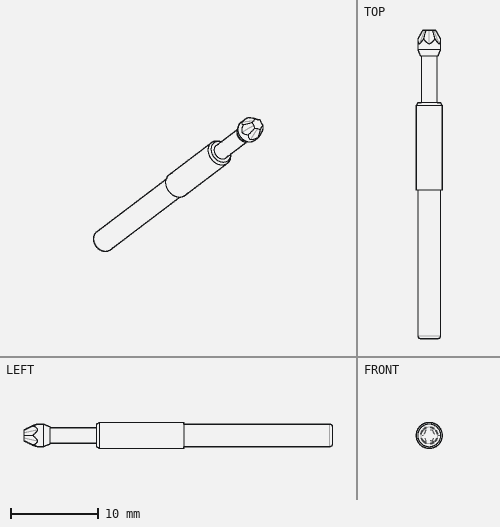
import cadquery as cq
import math

total_length = 35.3

barrel_radius = 1.5
tail_radius = 1.3
head_radius = 1.3
plunger_radius = 0.9
barrel_mouth_radius = 1.3

tail_length = 17.0
tail_fillet = 0.35
barrel_length = 10.0
barrel_chamfer_length = 0.35

head_length = 3.0
head_back_length = 0.75
head_back_radius = 1.0
ridge_count = 6
ridge_tip_radius = 0.73
valley_tip_radius = 0.58
ridge_slope = 0.57

barrel_front = tail_length + barrel_length
head_back = total_length - head_length


def make_blank():
    """Revolve the stepped half outline (radius, Y) about the Y axis."""
    outline = [
        (0, 0),
        (tail_radius, 0),
        (tail_radius, tail_length),
        (barrel_radius, tail_length),
        (barrel_radius, barrel_front - barrel_chamfer_length),
        (barrel_mouth_radius, barrel_front),
        (plunger_radius, barrel_front),
        (plunger_radius, head_back),
        (head_back_radius, head_back),
        (head_radius, head_back + head_back_length),
        (head_radius, total_length),
        (0, total_length),
    ]
    blank = cq.Workplane("XY").polyline(outline).close().revolve(360, (0, 0), (0, 1))
    return blank.faces("<Y").edges().fillet(tail_fillet)


def star_points(ridge_radius):
    """Corners of a star with alternating ridges and valleys, the first ridge on the X axis."""
    valley_radius = ridge_radius * valley_tip_radius / ridge_tip_radius
    points = []
    for corner in range(2 * ridge_count):
        angle = math.pi * corner / ridge_count
        radius = valley_radius if corner % 2 else ridge_radius
        points.append((radius * math.cos(angle), radius * math.sin(angle)))
    return points


def make_star_point():
    """Star pyramid frustum that bounds the head; its flutes run out on the head cylinder."""
    wide_ridge_radius = ridge_tip_radius + ridge_slope * head_length
    return (
        cq.Workplane("XZ", origin=(0, total_length, 0))
        .polyline(star_points(ridge_tip_radius))
        .close()
        .workplane(offset=head_length)
        .polyline(star_points(wide_ridge_radius))
        .close()
        .loft(ruled=True)
    )


def make_head_waste():
    """Ring of material around the star point that is ground away from the head."""
    sleeve_radius = 2 * head_radius
    sleeve = cq.Workplane("XZ", origin=(0, total_length, 0)).circle(sleeve_radius).extrude(head_length)
    return sleeve.cut(make_star_point())


result = make_blank().cut(make_head_waste())